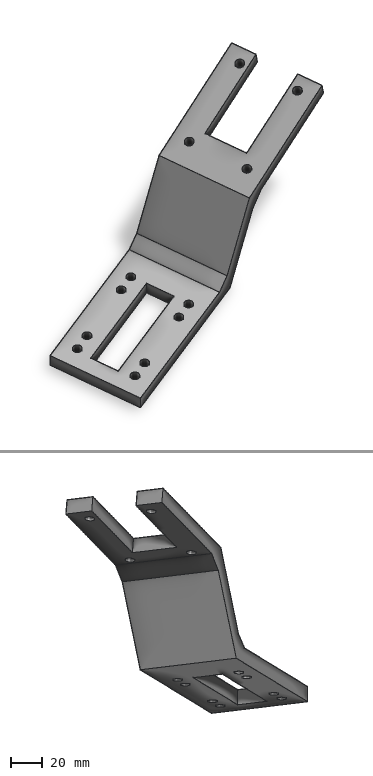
import cadquery as cq
import math

width = 66.0
total_length = 225.3
plate_thickness = 10.0
ramp_thickness = 11.3
arm_angle = math.radians(10)
ramp_angle = math.radians(61)

base_length = 110.5
bend_height = 66.0
base_gusset_start = 97.3
base_gusset_height = 16.5
arm_gusset_height = 50.2
arm_gusset_offset = 12.8

hole_diameter = 6.0
hole_spacing_x = 42.1
base_pattern_center = 46.5
base_hole_spacings = (42.1, 66.0)
window_width = 20.0
window_length = 68.7
window_center = 45.7
arm_hole_offsets = (17.3, 80.5)
fork_gap = 30.5
fork_start = 27.0

ramp_shift = ramp_thickness / math.sin(ramp_angle)


def ramp_lower_y(z):
    return base_length + z / math.tan(ramp_angle)


def ramp_upper_y(z):
    return ramp_lower_y(z) - ramp_shift


bend_y = ramp_upper_y(bend_height)
arm_length = (total_length - bend_y - plate_thickness * math.sin(arm_angle)) / math.cos(arm_angle)


def arm_point(along, depth=0):
    """Point at a distance along the arm from the bend and a depth below its top face."""
    y = bend_y + along * math.cos(arm_angle) + depth * math.sin(arm_angle)
    z = bend_height + along * math.sin(arm_angle) - depth * math.cos(arm_angle)
    return y, z


def bent_plate():
    outline = [
        (0, 0),
        (base_length, 0),
        (ramp_lower_y(arm_gusset_height), arm_gusset_height),
        arm_point(arm_gusset_offset, plate_thickness),
        arm_point(arm_length, plate_thickness),
        arm_point(arm_length),
        arm_point(0),
        (ramp_upper_y(base_gusset_height), base_gusset_height),
        (base_gusset_start, plate_thickness),
        (0, plate_thickness),
    ]
    return cq.Workplane("YZ").polyline(outline).close().extrude(width / 2, both=True)


def base_cuts():
    depth = plate_thickness
    window = (
        cq.Workplane("XY").center(0, window_center)
        .rect(window_width, window_length).extrude(depth)
    )
    cuts = window
    for spacing in base_hole_spacings:
        holes = (
            cq.Workplane("XY").center(0, base_pattern_center)
            .rect(hole_spacing_x, spacing, forConstruction=True).vertices()
            .circle(hole_diameter / 2).extrude(depth)
        )
        cuts = cuts.union(holes)
    return cuts


def arm_cuts():
    normal = (0, -math.sin(arm_angle), math.cos(arm_angle))
    top_face = cq.Plane(origin=(0, bend_y, bend_height), xDir=(1, 0, 0), normal=normal)
    first_hole, last_hole = arm_hole_offsets
    through = -2 * plate_thickness
    fork_length = arm_length - fork_start
    fork = (
        cq.Workplane(top_face).center(0, fork_start + fork_length / 2)
        .rect(fork_gap, fork_length).extrude(through)
    )
    holes = (
        cq.Workplane(top_face).center(0, (first_hole + last_hole) / 2)
        .rect(hole_spacing_x, last_hole - first_hole, forConstruction=True).vertices()
        .circle(hole_diameter / 2).extrude(through)
    )
    return fork.union(holes)


result = bent_plate().cut(base_cuts()).cut(arm_cuts())